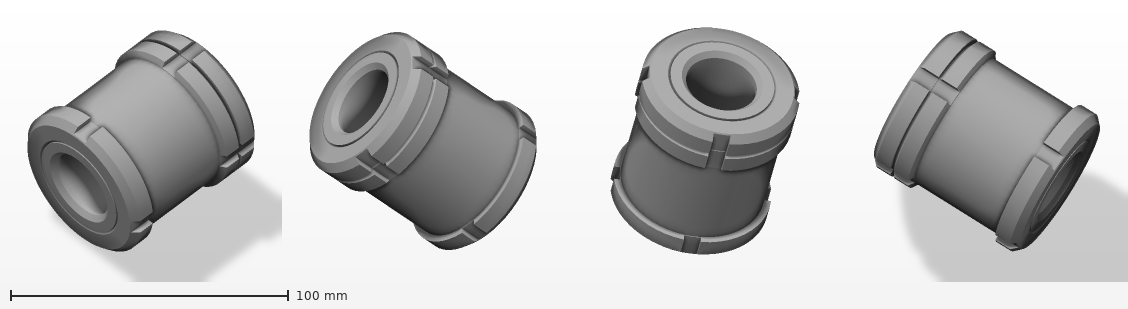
import cadquery as cq
import math

length = 63.0
collar_diameter = 58.0
body_diameter = 53.0
collar_width = 9.0
lock_gap = 0.2
sleeve_protrusion = 0.2

face_diameter = 52.7
end_chamfer = (collar_diameter - face_diameter) / 2
ring_bevel_angle = 30.0
ring_bevel_height = (collar_diameter - body_diameter) / 2
ring_bevel_width = ring_bevel_height * math.tan(math.radians(ring_bevel_angle))

slot_width = 6.2
slot_floor_diameter = 53.55
slot_count = 4

bore_diameter = 26.0
bore_mouth_diameter = 29.8
bore_chamfer = (bore_mouth_diameter - bore_diameter) / 2

sleeve_diameter = 38.1
groove_floor_diameter = 38.35
groove_mouth_diameter = 40.0
groove_depth = (groove_mouth_diameter - groove_floor_diameter) / 2

front = -length / 2
back = length / 2
nut_back = back - sleeve_protrusion
lock_joint = back - collar_width
ring_front = lock_joint - collar_width
front_collar_back = front + collar_width


def revolve_profile(points):
    """Turn (radius, y) points into a solid about the Y axis."""
    return cq.Workplane("XY").polyline(points).close().revolve(360, (0, 0, 0), (0, 1, 0))


def outer_solid():
    collar = collar_diameter / 2
    body = body_diameter / 2
    face = face_diameter / 2
    sleeve = sleeve_diameter / 2
    return revolve_profile([
        (0, front),
        (face, front),
        (collar, front + end_chamfer),
        (collar, front_collar_back),
        (body, front_collar_back),
        (body, ring_front),
        (collar, ring_front + ring_bevel_width),
        (collar, lock_joint - ring_bevel_width),
        (body, lock_joint),
        (body, lock_joint + lock_gap),
        (collar, lock_joint + lock_gap),
        (collar, nut_back - end_chamfer),
        (face, nut_back),
        (sleeve, nut_back),
        (sleeve, back),
        (0, back),
    ])


def bore_cutter():
    bore = bore_diameter / 2
    mouth = bore_mouth_diameter / 2
    return revolve_profile([
        (0, front),
        (mouth, front),
        (bore, front + bore_chamfer),
        (bore, back - bore_chamfer),
        (mouth, back),
        (0, back),
    ])


def groove_cutter(face_y, inward):
    """Annular groove in an end face; inward is the Y sign pointing into the part."""
    floor_y = face_y + inward * groove_depth
    return revolve_profile([
        (sleeve_diameter / 2, face_y),
        (groove_mouth_diameter / 2, face_y),
        (groove_floor_diameter / 2, floor_y),
        (sleeve_diameter / 2, floor_y),
    ])


def slot_cutter():
    """Crossed bars along Y, hollowed so that each slot keeps a round floor."""
    bars = cq.Workplane("XY")
    for index in range(slot_count // 2):
        bar = cq.Workplane("XY").box(slot_width, length, collar_diameter)
        bars = bars.add(bar.rotate((0, 0, 0), (0, 1, 0), index * 360 / slot_count))
    core = cq.Workplane("XZ").circle(slot_floor_diameter / 2).extrude(length / 2, both=True)
    return bars.combine().cut(core)


result = (
    outer_solid()
    .cut(bore_cutter())
    .cut(groove_cutter(front, 1))
    .cut(groove_cutter(nut_back, -1))
    .cut(slot_cutter())
)